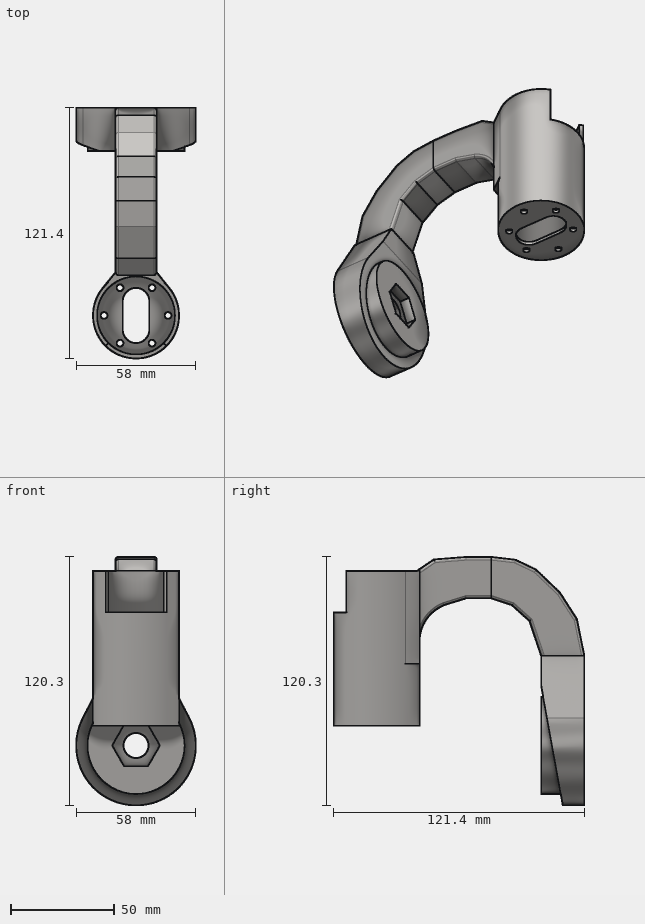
import cadquery as cq
import math


mount_radius = 29.0
mount_thickness = 21.0
mount_thin_edge = mount_thickness / 2
mount_top_z = 43.5
boss_diameter = 47.0
bolt_hole_diameter = 12.0
nut_across_flats = 20.0
nut_pocket_depth = 5.0

arm_width = 20.0
arm_edge_radius = 1.5
arm_top_z = 91.3
arm_bottom_z = 71.1
joint_y = -45.0
arm_outer_bends = [(-3.6, 61.2), (-11.9, 74), (-23.5, 85.2), (-33.5, 90.0)]
arm_inner_bends = [(-35.1, 67.9), (-26.7, 60.3)]
arm_level_end_y = -57.4
arm_shoulder = (-72.8, 90.1)
arm_tip_y = -81.1
underside_curve_start = (-68, 67.9)
underside_curve_middle = (-75.0, 62.9)
underside_curve_end_z = 52.5

tube_diameter = 41.8
tube_bore_diameter = 37.8
tube_bottom_z = 9.5
tube_height = 75.0
total_length = 121.4
floor_thickness = (tube_diameter - tube_bore_diameter) / 2
notch_angle = 90
notch_height = 20.0
web_height = 45.0
web_end_reach = 13.7

floor_slot_width = 12.7
floor_slot_length = 26.6
screw_hole_diameter = 3.2
screw_hole_count = 6
screw_circle_diameter = 31.0

arm_half_width = arm_width / 2
tube_radius = tube_diameter / 2
tube_axis_y = tube_radius - total_length
tube_back_y = tube_axis_y + tube_radius
tube_top_z = tube_bottom_z + tube_height


def tangent_point(radius, half_width, distance):
    """Where the line from (half_width, distance) touches a circle centred on the origin."""
    corner_angle = math.atan2(distance, half_width)
    touch_angle = corner_angle - math.acos(radius / math.hypot(half_width, distance))
    return radius * math.cos(touch_angle), radius * math.sin(touch_angle)


def extrude_across(side_profile, width):
    """Extrude a closed YZ profile symmetrically about X = 0."""
    return side_profile.extrude(width / 2, both=True)


def round_long_edges(arm, end_faces):
    """Round the edges along both flat sides of an arm, except those bounding its end faces."""
    end_edges = arm.faces(end_faces).edges().vals()
    long_edges = [
        edge for edge in arm.faces("<X or >X").edges().vals()
        if not any(edge.isSame(end_edge) for end_edge in end_edges)
    ]
    return arm.newObject(long_edges).fillet(arm_edge_radius)


def mount_block():
    """Round plate that tapers up to the arm, with its front face sloping back toward the bottom."""
    touch_x, touch_z = tangent_point(mount_radius, arm_half_width, mount_top_z)
    plate = (
        cq.Workplane("XZ")
        .moveTo(-arm_half_width, mount_top_z)
        .lineTo(arm_half_width, mount_top_z)
        .lineTo(touch_x, touch_z)
        .threePointArc((0, -mount_radius), (-touch_x, touch_z))
        .close()
        .extrude(mount_thickness)
    )
    side_profile = cq.Workplane("YZ").polyline([
        (0, -mount_radius),
        (-mount_thin_edge, -mount_radius),
        (-mount_thickness, mount_radius),
        (-mount_thickness, mount_top_z),
        (0, mount_top_z),
    ]).close()
    return plate.intersect(extrude_across(side_profile, 2 * mount_radius))


def mount_arm():
    """Arm half that rises from the mount disc to the joint."""
    side_profile = cq.Workplane("YZ").polyline([
        (0, mount_top_z),
        *arm_outer_bends,
        (joint_y, arm_top_z),
        (joint_y, arm_bottom_z),
        *arm_inner_bends,
        (-mount_thickness, mount_top_z),
    ]).close()
    arm = extrude_across(side_profile, arm_width)
    return round_long_edges(arm, "<Z or <Y")


def mount_half():
    """Mount disc, boss and arm half, pierced by the bolt hole and its hexagonal nut pocket."""
    boss = cq.Workplane("XZ").circle(boss_diameter / 2).extrude(mount_thickness)
    bolt_hole = cq.Workplane("XZ").circle(bolt_hole_diameter / 2).extrude(mount_thickness)
    nut_across_corners = nut_across_flats / math.cos(math.pi / 6)
    nut_pocket = (
        cq.Workplane("XZ", origin=(0, nut_pocket_depth - mount_thickness, 0))
        .polygon(6, nut_across_corners)
        .extrude(nut_pocket_depth)
    )
    return mount_block().union(boss).union(mount_arm()).cut(bolt_hole).cut(nut_pocket)


def tube_arm():
    """Arm half that runs from the joint down to the tube, its underside curving into the tube."""
    side_profile = (
        cq.Workplane("YZ")
        .moveTo(joint_y, arm_bottom_z)
        .lineTo(joint_y, arm_top_z)
        .lineTo(arm_level_end_y, arm_top_z)
        .lineTo(*arm_shoulder)
        .lineTo(arm_tip_y, tube_top_z)
        .lineTo(arm_tip_y, underside_curve_end_z)
        .lineTo(tube_back_y, underside_curve_end_z)
        .threePointArc(underside_curve_middle, underside_curve_start)
        .lineTo(arm_level_end_y, arm_bottom_z)
        .close()
    )
    arm = extrude_across(side_profile, arm_width)
    return round_long_edges(arm, "<Y or >Y or <Z")


def tube_web():
    """Upright web that flares from the arm width to the flanks of the tube."""
    end_half_width = math.sqrt(tube_radius**2 - web_end_reach**2)
    return (
        cq.Workplane("XY", origin=(0, tube_axis_y, tube_top_z - web_height))
        .polyline([
            (-arm_half_width, tube_radius),
            (arm_half_width, tube_radius),
            (end_half_width, web_end_reach),
            (-end_half_width, web_end_reach),
        ])
        .close()
        .extrude(web_height)
    )


def tube_notch():
    """Sector-shaped cutter that opens the front of the tube at its rim."""
    reach = tube_diameter
    half_angle = math.radians(notch_angle / 2)
    side_x = reach * math.sin(half_angle)
    side_y = -reach * math.cos(half_angle)
    return (
        cq.Workplane("XY", origin=(0, tube_axis_y, tube_top_z - notch_height))
        .polyline([(0, 0), (-side_x, side_y), (side_x, side_y)])
        .close()
        .extrude(notch_height)
    )


def floor_openings():
    """Central slot and ring of screw holes through the tube floor."""
    floor = cq.Workplane("XY", origin=(0, tube_axis_y, tube_bottom_z))
    slot = floor.slot2D(floor_slot_length, floor_slot_width, 90).extrude(floor_thickness)
    screw_holes = (
        floor.polarArray(screw_circle_diameter / 2, 0, 360, screw_hole_count)
        .circle(screw_hole_diameter / 2)
        .extrude(floor_thickness)
    )
    return slot.union(screw_holes)


def tube_half():
    """Notched tube with a perforated floor, its web and its arm half."""
    base = cq.Workplane("XY", origin=(0, tube_axis_y, tube_bottom_z))
    shell = base.circle(tube_radius).extrude(tube_height)
    bore = (
        base.workplane(offset=floor_thickness)
        .circle(tube_bore_diameter / 2)
        .extrude(tube_height - floor_thickness)
    )
    body = shell.union(tube_web()).union(tube_arm())
    return body.cut(bore).cut(tube_notch()).cut(floor_openings())


mount = mount_half()
tube = tube_half()

result = cq.Compound.makeCompound([mount.val(), tube.val()])